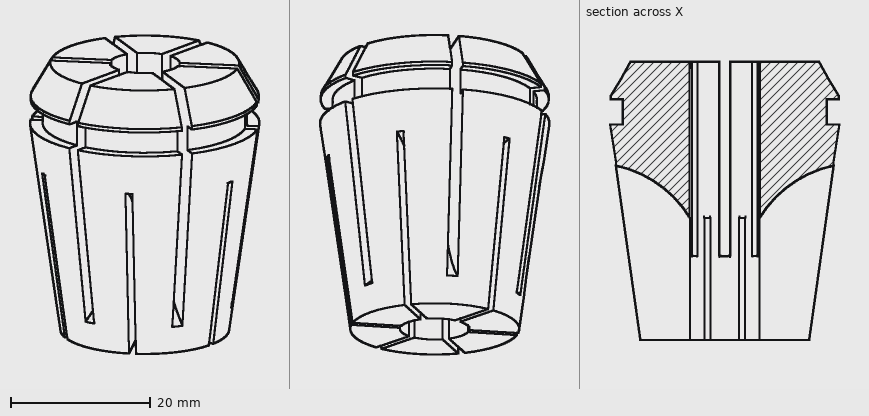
import cadquery as cq
import math

height = 40.0
body_radius = 16.5
taper_angle = 8.0
shoulder_z = 31.0
groove_radius = 14.7
rim_bottom_z = 34.55
rim_radius = 16.4
rim_band = 0.5
nose_angle = 30.0
bore_radius = 5.0

slots_per_end = 6
slot_spacing = 360 / slots_per_end
slot_reach = body_radius + 0.8
end_overlap = 0.4

top_slot_width = 1.55
top_floor_center = (25.4, 24.0)
top_floor_radius = 23.65

bottom_slot_width = 1.0
bottom_ceiling_center = (19.0, 9.0)
bottom_ceiling_radius = 16.4


def make_body():
    """Revolve the tapered body, groove and nose around the bore."""
    base_radius = body_radius - shoulder_z * math.tan(math.radians(taper_angle))
    cone_z = rim_bottom_z + rim_band
    top_radius = rim_radius - (height - cone_z) * math.tan(math.radians(nose_angle))
    return (
        cq.Workplane("XZ")
        .moveTo(bore_radius, 0)
        .lineTo(base_radius, 0)
        .lineTo(body_radius, shoulder_z)
        .lineTo(groove_radius, shoulder_z)
        .lineTo(groove_radius, rim_bottom_z)
        .lineTo(rim_radius, rim_bottom_z)
        .lineTo(rim_radius, cone_z)
        .lineTo(top_radius, height)
        .lineTo(bore_radius, height)
        .close()
        .revolve(360, (0, 0, 0), (0, 1, 0))
    )


def slot_cutter(width, arc_center, arc_radius, side, open_z):
    """Cutter along +X, bounded by an arc above (side=1) or below (side=-1) and open at open_z."""
    center_r, center_z = arc_center

    def arc_point(r):
        return r, center_z + side * math.sqrt(arc_radius**2 - (r - center_r) ** 2)

    inner_r = bore_radius - width / 2
    middle_r = (inner_r + slot_reach) / 2
    return (
        cq.Workplane("XZ")
        .moveTo(inner_r, open_z)
        .lineTo(*arc_point(inner_r))
        .threePointArc(arc_point(middle_r), arc_point(slot_reach))
        .lineTo(slot_reach, open_z)
        .close()
        .extrude(width / 2, both=True)
    )


def cut_around(part, cutter, start_angle):
    """Cut evenly spaced copies of the cutter around the axis."""
    for index in range(slots_per_end):
        angle = start_angle + index * slot_spacing
        part = part.cut(cutter.rotate((0, 0, 0), (0, 0, 1), angle))
    return part


top_slot = slot_cutter(
    top_slot_width, top_floor_center, top_floor_radius, -1, height + end_overlap
)
bottom_slot = slot_cutter(
    bottom_slot_width, bottom_ceiling_center, bottom_ceiling_radius, 1, -end_overlap
)

result = make_body()
result = cut_around(result, top_slot, 0)
result = cut_around(result, bottom_slot, slot_spacing / 2)